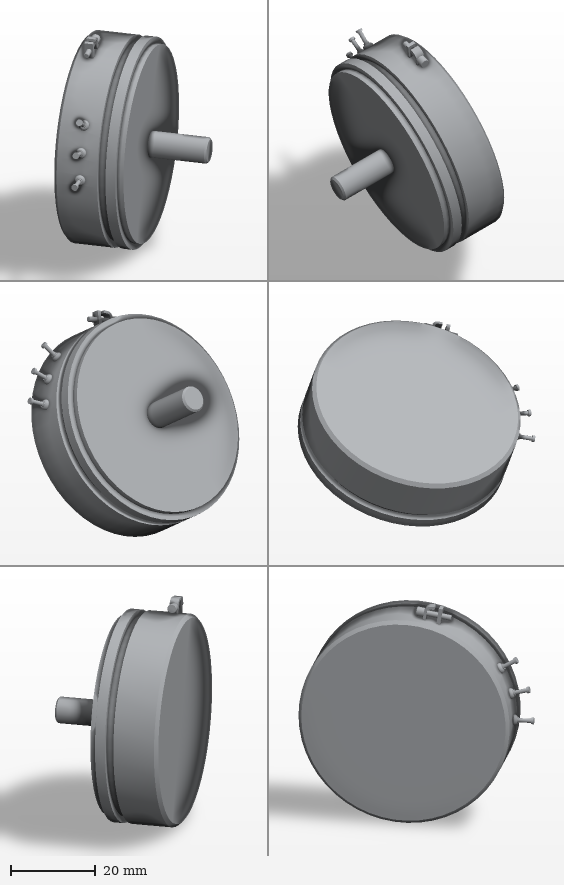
import cadquery as cq
import math

body_radius = 25.4
groove_radius = 23.85
back_chamfer = 0.85
body_end = 10.8
flange_start = 12.85
flange_end = 15.3
boss_end = 16.85
shaft_radius = 3.15
shaft_end = 31.15
shaft_chamfer = 0.45

terminal_x = 6.6
terminal_angles = [0, 15, 30]
seat_level = 25.0
collar_radius = 1.3
collar_rim_level = 25.55
collar_mid_radius = 1.15
collar_mid_level = 25.9
collar_top_radius = 0.85
collar_top_level = 26.2
neck_radius = 0.7
neck_end = 26.55
pin_radius = 0.5
head_radius = 0.8
head_start = 29.55
terminal_tip = 30.15

clip_x = 3.95
clip_width = 2.1
clip_tilt = 8.5
lug_root = 24.7
hook_lug_near = 0.35
hook_lug_thickness = 0.65
hook_top = 28.4
hook_reach = 6.9
hook_bend_inner = 0.85
plain_lug_near = 3.7
plain_lug_thickness = 0.9
plain_lug_top = 28.95
screw_height = 26.9
screw_radius = 0.65
screw_end = 6.9
screw_head_radius = 1.1
screw_head_start = -1.5
screw_chamfer = 0.1


def make_turned_body():
    """Case, groove, flange, boss and shaft as one revolved profile."""
    profile = [
        (0, 0),
        (0, body_radius - back_chamfer),
        (back_chamfer, body_radius),
        (body_end, body_radius),
        (body_end, groove_radius),
        (flange_start, groove_radius),
        (flange_start, body_radius),
        (flange_end, body_radius),
        (flange_end, groove_radius),
        (boss_end, groove_radius),
        (boss_end, shaft_radius),
        (shaft_end - shaft_chamfer, shaft_radius),
        (shaft_end, shaft_radius - shaft_chamfer),
        (shaft_end, 0),
    ]
    return cq.Workplane("XY").polyline(profile).close().revolve(360, (0, 0, 0), (1, 0, 0))


def tilt_clip(shape):
    return shape.rotate((0, 0, 0), (1, 0, 0), clip_tilt)


def clip_plane():
    """Plane across the clip: local x points toward -Y, local y points up."""
    return cq.Workplane(cq.Plane((clip_x, 0, 0), (0, -1, 0), (-1, 0, 0)))


def make_hook_lug():
    """Tilted strip bent over at the top so that its tip lies level."""
    tilt = math.radians(clip_tilt)

    def face_point(offset, height):
        """Point at a given Z on the lug face that lies at this offset along the screw."""
        return (offset / math.cos(tilt) + height * math.tan(tilt), height)

    near = hook_lug_near
    far = hook_lug_near + hook_lug_thickness
    hook_underside = hook_top - hook_lug_thickness
    outline = [
        face_point(near, lug_root),
        face_point(near, hook_top),
        (hook_reach, hook_top),
        (hook_reach, hook_underside),
        face_point(far, hook_underside),
        face_point(far, lug_root),
    ]
    lug = clip_plane().polyline(outline).close().extrude(clip_width / 2, both=True)
    outer_corner = cq.selectors.NearestToPointSelector((clip_x, -outline[1][0], outline[1][1]))
    inner_corner = cq.selectors.NearestToPointSelector((clip_x, -outline[4][0], outline[4][1]))
    lug = lug.edges("|X").edges(inner_corner).fillet(hook_bend_inner)
    return lug.edges("|X").edges(outer_corner).fillet(hook_bend_inner + hook_lug_thickness)


def make_plain_lug():
    lug = clip_plane().moveTo(plain_lug_near, lug_root)
    lug = lug.rect(plain_lug_thickness, plain_lug_top - lug_root, centered=False)
    return tilt_clip(lug.extrude(clip_width / 2, both=True))


def make_screw():
    """Screw profile revolved about its own axis, with chamfered ends."""
    head_profile_top = screw_height + screw_head_radius
    shank_profile_top = screw_height + screw_radius
    profile = [
        (screw_head_start, screw_height),
        (screw_head_start, head_profile_top - screw_chamfer),
        (screw_head_start + screw_chamfer, head_profile_top),
        (hook_lug_near, head_profile_top),
        (hook_lug_near, shank_profile_top),
        (screw_end - screw_chamfer, shank_profile_top),
        (screw_end, shank_profile_top - screw_chamfer),
        (screw_end, screw_height),
    ]
    screw = clip_plane().polyline(profile).close()
    return tilt_clip(screw.revolve(360, (0, screw_height, 0), (1, screw_height, 0)))


def place_terminal(shape, angle):
    """Turn a shape modelled along -Y to its place in the fan."""
    return shape.rotate((0, 0, 0), (1, 0, 0), -angle)


def make_terminal(angle):
    """Collar, neck, pin and head, revolved about the radial terminal axis."""
    shoulder_mid = (collar_mid_radius, -collar_mid_level)
    shoulder_top = (collar_top_radius, -collar_top_level)
    upper_profile = [
        (neck_radius, -collar_top_level),
        (neck_radius, -neck_end),
        (pin_radius, -neck_end),
        (pin_radius, -head_start),
        (head_radius, -head_start),
        (head_radius, -terminal_tip),
        (0, -terminal_tip),
    ]
    outline = cq.Workplane("XY").moveTo(0, -seat_level).lineTo(collar_radius, -seat_level)
    outline = outline.lineTo(collar_radius, -collar_rim_level).threePointArc(shoulder_mid, shoulder_top)
    outline = outline.polyline(upper_profile, includeCurrent=True).close()
    terminal = outline.revolve(360, (0, 0, 0), (0, 1, 0))
    return place_terminal(terminal.translate((terminal_x, 0, 0)), angle)


def make_seat_cutter(angle):
    """Cylinder that cuts the flat-floored pocket holding a terminal collar."""
    seat_plane = cq.Workplane(cq.Plane((terminal_x, -seat_level, 0), (1, 0, 0), (0, -1, 0)))
    cutter = seat_plane.circle(collar_radius).extrude(terminal_tip - seat_level)
    return place_terminal(cutter, angle)


housing = make_turned_body()
for clip_feature in (make_hook_lug(), make_plain_lug(), make_screw()):
    housing = housing.union(clip_feature)
for terminal_angle in terminal_angles:
    housing = housing.cut(make_seat_cutter(terminal_angle))

terminals = [make_terminal(terminal_angle).val() for terminal_angle in terminal_angles]

result = cq.Compound.makeCompound([housing.val(), *terminals])